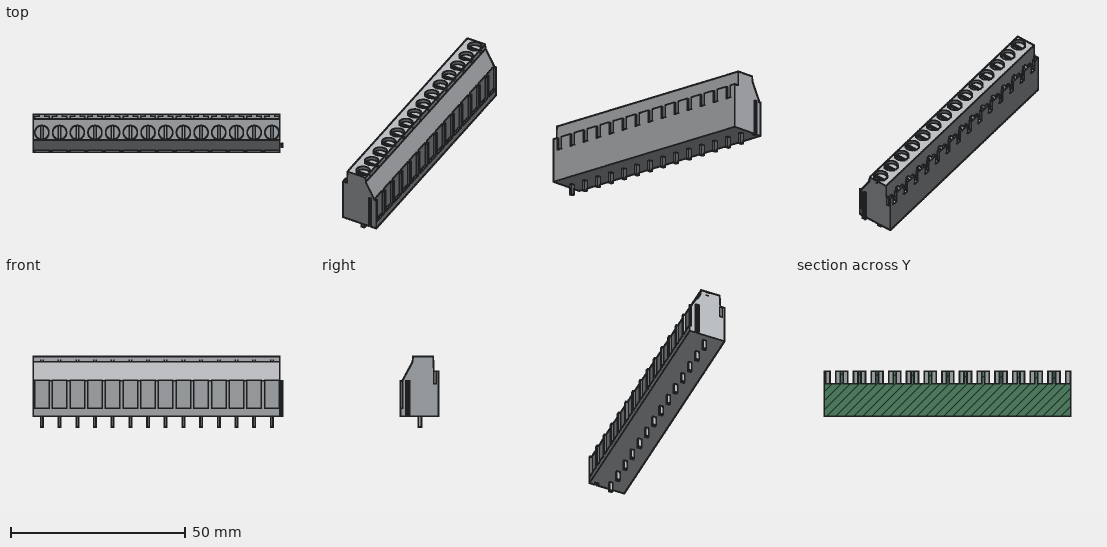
import cadquery as cq

pole_count = 14
row_length = 71.1
end_trim = 0.2
housing_length = row_length - end_trim
housing_depth = 11.0
housing_height = 17.2
pitch = row_length / pole_count
total_length = 71.8
total_height = 20.3

shoulder_height = 10.2
shoulder_depth = 0.5
brow_height = 15.65
brow_depth = 3.45
brow_lean = 0.15
back_ledge_height = 13.0
back_ledge_depth = 1.35
back_wall_lean = 0.15

window_width = 4.15
window_floor = 2.4
window_depth = 0.65

well_diameter = 4.0
well_center_y = 5.75
well_depth = 1.15
slot_width = 0.7
slot_depth = 0.7

marker_width = 4.15
marker_neck_width = 1.6
marker_neck_depth = 0.65
marker_pocket_depth = 3.6

pin_width = 0.7
pin_thickness = 1.0
pin_center_y = 5.6
pin_length = total_height - housing_height

key_center_y = 2.1
key_depth = total_length - housing_length
key_neck_width = 0.65
key_neck_depth = 0.3
key_head_width = 1.15
key_head_start = 0.5
key_notch_width = 0.4
key_notch_bottom = 0.6

pole_centers = [(index + 0.5) * pitch for index in range(pole_count)]


def box(center_x, width, y_start, y_end, z_start, z_end):
    """Block centred on center_x that spans the given Y and Z ranges."""
    block = cq.Workplane("XY").box(width, y_end - y_start, z_end - z_start, centered=(True, False, False))
    return block.translate((center_x, y_start, z_start))


def make_housing():
    """End profile in the YZ plane, extruded along the row."""
    ledge_y = housing_depth - back_ledge_depth
    profile = [
        (0, 0),
        (0, shoulder_height),
        (shoulder_depth, shoulder_height),
        (brow_depth, brow_height),
        (brow_depth + brow_lean, housing_height),
        (ledge_y - back_wall_lean, housing_height),
        (ledge_y, back_ledge_height),
        (housing_depth, back_ledge_height),
        (housing_depth, 0),
    ]
    return cq.Workplane("YZ").polyline(profile).close().extrude(housing_length)


def make_window(center_x):
    """Cutter for one front window, open upward through the shoulder."""
    return box(center_x, window_width, 0, window_depth, window_floor, brow_height)


def make_screw_well(center_x):
    """Cutter for one round well with the driver slot sunk into its floor."""
    floor = housing_height - well_depth
    radius = well_diameter / 2
    well = cq.Workplane("XY", origin=(center_x, well_center_y, floor)).circle(radius).extrude(well_depth)
    front_y = well_center_y - radius
    slot = box(center_x, slot_width, front_y, front_y + well_diameter, floor - slot_depth, floor)
    head = well.translate((0, 0, -slot_depth))
    return well.union(slot.intersect(head))


def make_marker_pocket(center_x):
    """Cutter for one T-shaped pocket whose neck opens through the rear face."""
    floor = back_ledge_height - marker_pocket_depth
    neck_y = housing_depth - marker_neck_depth
    ledge_y = housing_depth - back_ledge_depth
    wide = box(center_x, marker_width, ledge_y, neck_y, floor, back_ledge_height)
    neck = box(center_x, marker_neck_width, neck_y, housing_depth, floor, back_ledge_height)
    return wide.union(neck)


def make_pin(center_x):
    """One solder pin hanging below the housing."""
    front_y = pin_center_y - pin_thickness / 2
    return box(center_x, pin_width, front_y, front_y + pin_thickness, -pin_length, 0)


def make_key(start_x, notched):
    """Upright key that widens along +X from start_x, its head split by a V if notched."""
    half_outline = [
        (0, key_neck_width / 2),
        (key_neck_depth, key_neck_width / 2),
        (key_head_start, key_head_width / 2),
        (key_depth, key_head_width / 2),
    ]
    notch = []
    if notched:
        notch_edge = key_notch_width / 2
        notch = [(key_depth, notch_edge), (key_notch_bottom, 0), (key_depth, -notch_edge)]
    mirrored_half = [(x, -y) for x, y in reversed(half_outline)]
    outline = half_outline + notch + mirrored_half
    key_base = cq.Workplane("XY", origin=(start_x, key_center_y, 0))
    return key_base.polyline(outline).close().extrude(shoulder_height)


result = make_housing()
for pole_x in pole_centers:
    result = result.cut(make_window(pole_x))
    result = result.cut(make_screw_well(pole_x))
    result = result.cut(make_marker_pocket(pole_x))
    result = result.union(make_pin(pole_x))

result = result.cut(make_key(0, notched=False))
result = result.union(make_key(housing_length, notched=True))